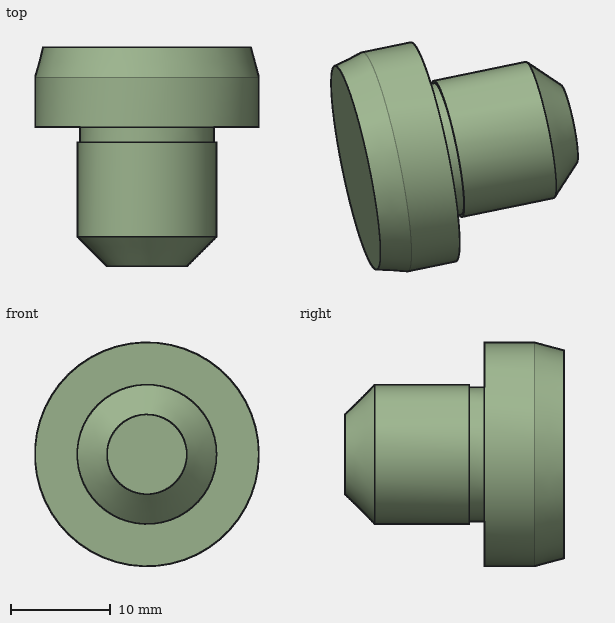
import cadquery as cq
import math

head_radius = 22.5 / 2
head_height = 8.0
taper_length = 3.0
taper_angle = 15

pin_radius = 14.0 / 2
pin_length = 14.0
groove_radius = 13.5 / 2
groove_width = 1.5
lead_in = 3.0

head_end_radius = head_radius - taper_length * math.tan(math.radians(taper_angle))
tip_radius = pin_radius - lead_in

half_section = [
    (0, -pin_length),
    (tip_radius, -pin_length),
    (pin_radius, -pin_length + lead_in),
    (pin_radius, -groove_width),
    (groove_radius, -groove_width),
    (groove_radius, 0),
    (head_radius, 0),
    (head_radius, head_height - taper_length),
    (head_end_radius, head_height),
    (0, head_height),
]

result = cq.Workplane("XY").polyline(half_section).close().revolve(360, (0, 0, 0), (0, 1, 0))